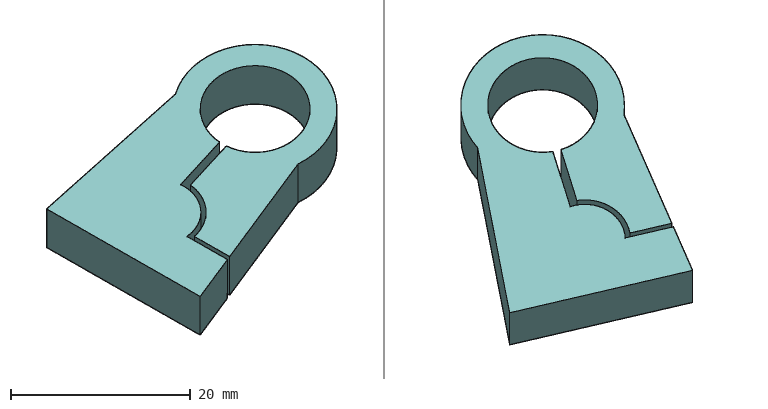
import cadquery as cq
import math

length = 34.1
base_width = 21.07
thickness = 7.0

ring_radius = 9.1
bore_radius = 6.1
ring_center_y = length - ring_radius

shoulder_y = 21.52
shoulder_half_width = math.sqrt(ring_radius**2 - (ring_center_y - shoulder_y) ** 2)

slot_width = 0.92
arc_center_y = 7.02
arc_inner_radius = 4.5
arc_outer_radius = 5.08
exit_bottom_y = 6.0
exit_top_y = 6.48


def point_on_circle_above(center_y, radius, x):
    """Point of a circle centred on X = 0, on its upper half."""
    return (x, center_y + math.sqrt(radius**2 - x**2))


def point_on_circle_right(center_y, radius, y):
    """Point of a circle centred on X = 0, on its right half."""
    return (math.sqrt(radius**2 - (y - center_y) ** 2), y)


def arc_middle(radius):
    """Point of a slit arc at 45 degrees."""
    offset = radius * math.sqrt(0.5)
    return (offset, arc_center_y + offset)


def make_body():
    """Tapered foot topped by the round clamp ring."""
    return (
        cq.Workplane("XY")
        .moveTo(-base_width / 2, 0)
        .lineTo(base_width / 2, 0)
        .lineTo(shoulder_half_width, shoulder_y)
        .threePointArc((0, length), (-shoulder_half_width, shoulder_y))
        .close()
        .extrude(thickness)
    )


def make_bore():
    return cq.Workplane("XY").center(0, ring_center_y).circle(bore_radius).extrude(thickness)


def make_slit():
    """Slit from inside the bore to beyond the +X side of the foot."""
    half_slot = slot_width / 2
    inner_start = point_on_circle_above(arc_center_y, arc_inner_radius, -half_slot)
    inner_end = point_on_circle_right(arc_center_y, arc_inner_radius, exit_bottom_y)
    outer_start = point_on_circle_right(arc_center_y, arc_outer_radius, exit_top_y)
    outer_end = point_on_circle_above(arc_center_y, arc_outer_radius, half_slot)
    return (
        cq.Workplane("XY")
        .moveTo(-half_slot, ring_center_y)
        .lineTo(*inner_start)
        .threePointArc(arc_middle(arc_inner_radius), inner_end)
        .lineTo(base_width / 2, exit_bottom_y)
        .lineTo(base_width / 2, exit_top_y)
        .lineTo(*outer_start)
        .threePointArc(arc_middle(arc_outer_radius), outer_end)
        .lineTo(half_slot, ring_center_y)
        .close()
        .extrude(thickness)
    )


result = make_body().cut(make_bore()).cut(make_slit())